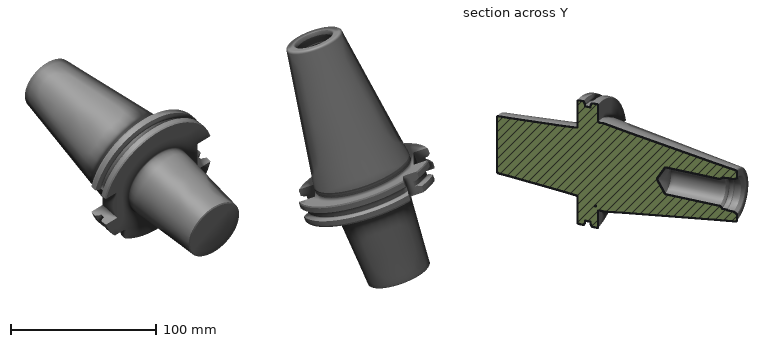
import cadquery as cq
import math

total_length = 181.6
taper_end = 101.3
flange_start = 105.0
flange_width = 15.8
flange_end = flange_start + flange_width

collar_radius = 34.9
taper_slope = 7 / 24 / 2
small_end_radius = collar_radius - taper_slope * taper_end
small_end_fillet = 2.0
neck_groove_width = 1.6
neck_groove_depth = 0.2
neck_groove_start = 102.5

flange_diameter = 97.5
flange_radius = flange_diameter / 2
flange_chamfer_length = 1.0
flange_chamfer_depth = 0.4
groove_center = flange_start + 8.0
groove_mouth_width = 6.4
groove_floor_width = 3.6
groove_depth = 3.6
groove_wall_height = 1.3

nose_base_radius = 26.9
nose_end_radius = 22.5
nose_root_fillet = 0.9
nose_end_chamfer = 0.7

slot_width = 25.6
front_slot_floor = 36.7
back_slot_floor = 35.0
notch_y = -29.2
notch_z = -29.2
notch_corner_radius = 1.8
cut_clearance = 1.8

mouth_radius = 14.5
mouth_chamfer_length = 0.4
countersink_radius = 14.0
countersink_end = 2.7
pilot_radius = 12.5
pilot_end = 7.6
seat_radius = 12.2
seat_start = 8.2
seat_end = 11.3
cone_radius = 11.6
cone_start = 11.6
cone_end = 13.3
drill_radius = 10.4
drill_end = 54.5
drill_tip_angle = 118.0


def revolve_about_x(points):
    """Revolve a half profile given as (x, radius) points about the X axis."""
    return cq.Workplane("XY").polyline(points).close().revolve(360, (0, 0, 0), (1, 0, 0))


def make_shank():
    neck_groove_end = neck_groove_start + neck_groove_width
    neck_radius = collar_radius - neck_groove_depth
    body = revolve_about_x([
        (0, 0),
        (0, small_end_radius),
        (taper_end, collar_radius),
        (neck_groove_start, neck_radius),
        (neck_groove_end, neck_radius),
        (flange_start, collar_radius),
        (flange_start, 0),
    ])
    return body.faces("<X").edges().fillet(small_end_fillet)


def make_flange():
    rim_radius = flange_radius - flange_chamfer_depth
    floor_radius = flange_radius - groove_depth
    half_mouth = groove_mouth_width / 2
    half_floor = groove_floor_width / 2
    return revolve_about_x([
        (flange_start, 0),
        (flange_start, rim_radius),
        (flange_start + flange_chamfer_length, flange_radius),
        (groove_center - half_mouth, flange_radius),
        (groove_center - half_floor, floor_radius + groove_wall_height),
        (groove_center - half_floor, floor_radius),
        (groove_center + half_floor, floor_radius),
        (groove_center + half_floor, floor_radius + groove_wall_height),
        (groove_center + half_mouth, flange_radius),
        (flange_end - flange_chamfer_length, flange_radius),
        (flange_end, rim_radius),
        (flange_end, 0),
    ])


def box_between(low, high):
    size = [b - a for a, b in zip(low, high)]
    return cq.Workplane("XY").box(*size, centered=False).translate(low)


def make_flange_cuts():
    outside = flange_radius + cut_clearance
    half_slot = slot_width / 2
    front_slot = box_between(
        (flange_start, -outside, -half_slot),
        (flange_end, -front_slot_floor, half_slot),
    )
    back_slot = box_between(
        (flange_start, back_slot_floor, -half_slot),
        (flange_end, outside, half_slot),
    )
    notch = box_between((flange_start, -outside, -outside), (flange_end, notch_y, notch_z))
    notch = notch.edges("|X and >Y and >Z").fillet(notch_corner_radius)
    return front_slot.union(back_slot).union(notch)


def make_nose():
    nose = revolve_about_x([
        (flange_end, 0),
        (flange_end, nose_base_radius),
        (total_length, nose_end_radius),
        (total_length, 0),
    ])
    return nose.faces(">X").edges().chamfer(nose_end_chamfer)


def make_bore():
    tip_length = drill_radius / math.tan(math.radians(drill_tip_angle / 2))
    return revolve_about_x([
        (0, 0),
        (0, mouth_radius),
        (mouth_chamfer_length, countersink_radius),
        (countersink_end, pilot_radius),
        (pilot_end, pilot_radius),
        (seat_start, seat_radius),
        (seat_end, seat_radius),
        (cone_start, cone_radius),
        (cone_end, drill_radius),
        (drill_end, drill_radius),
        (drill_end + tip_length, 0),
    ])


flange = make_flange().cut(make_flange_cuts())
body = flange.union(make_nose())
selection_margin = 0.4
root_reach = nose_base_radius + selection_margin
nose_root = cq.selectors.BoxSelector(
    (flange_end - selection_margin, -root_reach, -root_reach),
    (flange_end + selection_margin, root_reach, root_reach),
    boundingbox=True,
)
body = body.edges(nose_root).fillet(nose_root_fillet)
result = body.union(make_shank()).cut(make_bore())